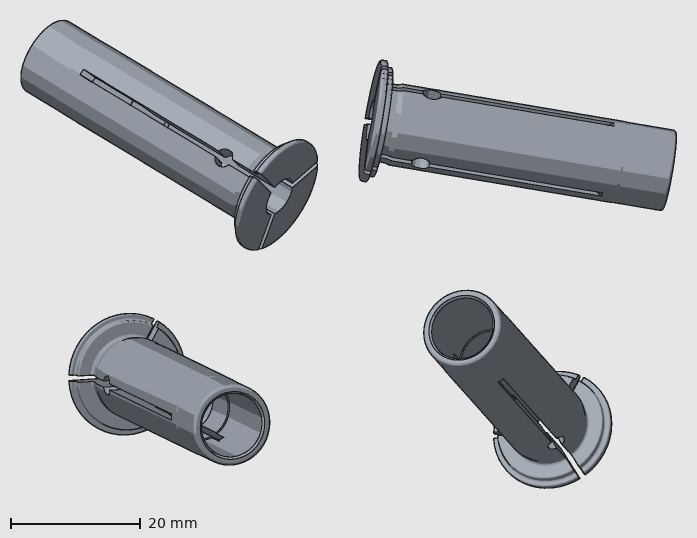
import cadquery as cq

length = 47.0
nose_radius = 6.3
body_radius = 6.35
neck_radius = 6.1
nose_fillet = 0.45

nose_end = 7.6
body_start = 8.0
body_end = 42.9
neck_start = 43.75
flange_start = 45.0
rim_start = 45.9
neck_fillet = 0.38

flange_radius = 8.55
flange_fillet = 0.25
step_fillet = 0.3
rim_radius = 9.5
rim_front_fillet = 0.25
rim_back_fillet = 0.4

mouth_radius = 5.0
mouth_chamfer = 0.35
mouth_end = 14.55
middle_radius = 4.75
cone_start = 21.25
clamp_radius = 3.15
cone_end = cone_start + middle_radius - clamp_radius

slot_count = 3
slot_width = 1.0
slot_start = 9.9
slot_ramp_length = 1.8
hole_diameter = 2.9
hole_x = 38.45
cut_reach = rim_radius + 0.45
slot_pitch = 360.0 / slot_count


def turned_sleeve():
    """Revolve the outer and bore outline, drawn as (x, radius), around X."""
    outline = (
        cq.Workplane("XY")
        .moveTo(0, mouth_radius + mouth_chamfer)
        .lineTo(0, nose_radius - nose_fillet)
        .tangentArcPoint((nose_fillet, nose_radius), relative=False)
        .lineTo(nose_end, nose_radius)
        .lineTo(body_start, body_radius)
        .lineTo(body_end, body_radius)
        .lineTo(neck_start, neck_radius)
        .lineTo(flange_start - neck_fillet, neck_radius)
        .tangentArcPoint((flange_start, neck_radius + neck_fillet), relative=False)
        .lineTo(flange_start, flange_radius - flange_fillet)
        .tangentArcPoint((flange_start + flange_fillet, flange_radius), relative=False)
        .lineTo(rim_start - step_fillet, flange_radius)
        .tangentArcPoint((rim_start, flange_radius + step_fillet), relative=False)
        .lineTo(rim_start, rim_radius - rim_front_fillet)
        .tangentArcPoint((rim_start + rim_front_fillet, rim_radius), relative=False)
        .lineTo(length - rim_back_fillet, rim_radius)
        .tangentArcPoint((length, rim_radius - rim_back_fillet), relative=False)
        .lineTo(length, clamp_radius)
        .lineTo(cone_end, clamp_radius)
        .lineTo(cone_start, middle_radius)
        .lineTo(mouth_end, middle_radius)
        .lineTo(mouth_end, mouth_radius)
        .lineTo(mouth_chamfer, mouth_radius)
        .close()
    )
    return outline.revolve(360, (0, 0, 0), (1, 0, 0))


def slot_cutter():
    """One slot toward +Y: ramped at its closed end and open through the flange."""
    ramp_end = slot_start + slot_ramp_length
    profile = [
        (slot_start, cut_reach),
        (slot_start, body_radius),
        (ramp_end, mouth_radius),
        (ramp_end, 0),
        (length, 0),
        (length, cut_reach),
    ]
    return cq.Workplane("XY").polyline(profile).close().extrude(slot_width / 2, both=True)


def hole_cutter():
    """Round radial hole from the bore out toward +Y."""
    return cq.Workplane("XZ").center(hole_x, 0).circle(hole_diameter / 2).extrude(-cut_reach)


result = turned_sleeve()
slot_with_hole = slot_cutter().union(hole_cutter())
for index in range(slot_count):
    result = result.cut(slot_with_hole.rotate((0, 0, 0), (1, 0, 0), index * slot_pitch))